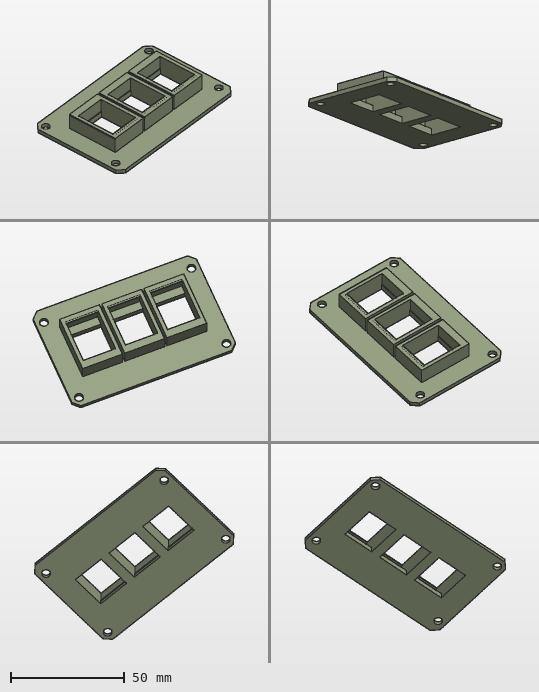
import cadquery as cq

plate_width = 50.6
plate_length = 77.6
plate_thickness = 2.0
corner_chamfer = 3.0

mount_hole_diameter = 3.8
mount_hole_spacing_x = 40.2
mount_hole_spacing_y = 70.0
mount_hole_offset_x = -1.1

socket_count = 3
socket_pitch = 20.0
socket_row_offset_y = 0.1
overall_height = 9.7
frame_left = -12.4
frame_right = 14.0
frame_length = 19.0

rim_thickness = 0.5
rim_setback = 0.1

left_wall = 3.7
right_wall = 3.0
cavity_length = 15.3

left_step = 0.3
right_ledge = 2.9
ledge_top = 3.0

undercut_depth = 1.0

cavity_left = frame_left + left_wall
cavity_right = frame_right - right_wall
rim_bottom = overall_height - rim_thickness


def block(x_start, x_end, y_start, y_end, z_start, z_end):
    """Box given by its limits along each axis."""
    size = (x_end - x_start, y_end - y_start, z_end - z_start)
    return cq.Workplane("XY").box(*size, centered=False).translate((x_start, y_start, z_start))


def make_plate():
    """Flat plate with chamfered corners and four mounting holes."""
    return (
        cq.Workplane("XY")
        .rect(plate_width, plate_length)
        .extrude(plate_thickness)
        .edges("|Z")
        .chamfer(corner_chamfer)
        .faces(">Z")
        .workplane()
        .center(mount_hole_offset_x, 0)
        .rect(mount_hole_spacing_x, mount_hole_spacing_y, forConstruction=True)
        .vertices()
        .hole(mount_hole_diameter)
    )


def make_frame(y_center):
    """Solid outer block of one socket, with its set-back rim layer."""
    front = y_center - frame_length / 2
    back = y_center + frame_length / 2
    lower = block(frame_left, frame_right, front, back, 0, rim_bottom)
    rim = block(frame_left, frame_right, front + rim_setback, back, rim_bottom, overall_height)
    return lower.union(rim)


def make_socket_void(y_center):
    """Space removed from one socket: through window, cavity and undercut."""
    front = y_center - cavity_length / 2
    back = y_center + cavity_length / 2
    window = block(cavity_left + left_step, cavity_right - right_ledge, front, back, 0, ledge_top)
    cavity = block(cavity_left, cavity_right, front, back, ledge_top, overall_height)
    undercut = block(cavity_right, cavity_right + undercut_depth, front, back, ledge_top, rim_bottom)
    return window.union(cavity).union(undercut)


panel = make_plate()
for index in range(socket_count):
    socket_y = socket_row_offset_y + (index - (socket_count - 1) / 2) * socket_pitch
    panel = panel.union(make_frame(socket_y)).cut(make_socket_void(socket_y))

result = cq.Compound.makeCompound([panel.val()])